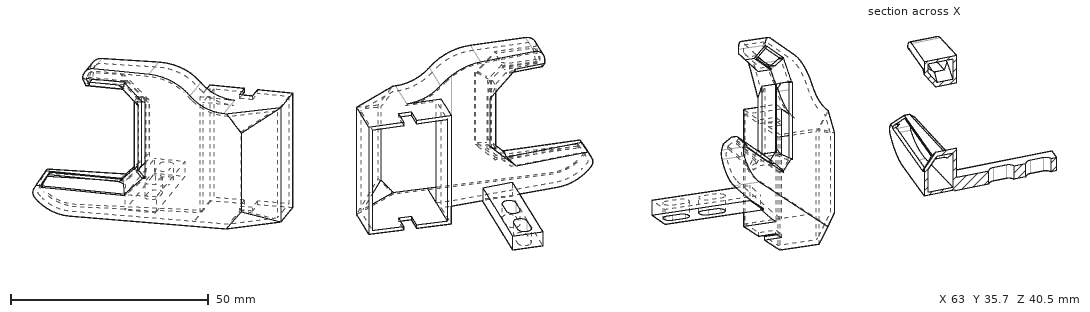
import cadquery as cq
import math

LENGTH = 63.0
HEIGHT = 40.5
PLATE_DEPTH = 10.0
WALL = 1.0

UPPER_TIP_X = 13.1
TIP_RADIUS = 2.9
CREST_END_X = 30.55
INFLECTION_X = 41.4
SHOULDER_X = 50.25
SHOULDER_Z = 31.85
HEEL_Z = 0.95
BELLY_X = 9.7
CHIN_X, CHIN_Z = 0.5, 4.1
NOSE_X, NOSE_Z = 0.265, 6.5
NOSE_SLOPE = math.tan(math.radians(60))

MOUTH_X = 25.8
MOUTH_LOW_Z = 10.45
MOUTH_HIGH_Z = 34.5
MOUTH_BEVEL = 2.95
FRONT_CHAMFER = 3.0
REAR_CHAMFER = 1.95
MITRE = math.tan(math.radians(22.5))

OPENING_START_X = 2.25
OPENING_END_X = 29.5
OPENING_LOW_Z = 7.05
OPENING_HIGH_Z = 37.65
OPENING_LIP = 0.2
INNER_REACH = FRONT_CHAMFER + WALL * (math.sqrt(2) - 1)

REAR_START_Y = 6.2
REAR_SLOPE = 0.1
REAR_ANGLE = math.atan(REAR_SLOPE)

BLOCK_X = 41.2
BLOCK_DEPTH = 19.1
KEYWAY_X = 50.3
KEYWAY_WIDTH = 3.4
KEYWAY_DEPTH = 4.7

END_BEVEL = 8.1
CORNER_RUN = 3.85
CORNER_DROP = 4.85

TAB_X = 21.9
TAB_WIDTH = 8.0
TAB_START_Y = 8.3
TAB_END_Y = 35.7
TAB_THICKNESS = 4.0
TAB_SLOT_WIDTH = 3.5
TAB_SLOT_LENGTH = 7.05
TAB_SLOT_YS = (20.8, 30.8)

FAR = 94.45
MARGIN = 1.25


def upright(y):
    """Workplane parallel to XZ at the given y; local axes are x and z."""
    return cq.Workplane("XZ", origin=(0, y, 0))


def rear_y(x):
    """Depth of the sloping rear face."""
    return REAR_START_Y + REAR_SLOPE * x


def outer_outline(y):
    """Closed side outline of the plate, with the mouth still filled."""
    share = (INFLECTION_X - CREST_END_X) / (SHOULDER_X - CREST_END_X)
    inflection_z = HEIGHT - share * (HEIGHT - SHOULDER_Z)
    nose_top_z = NOSE_Z + (UPPER_TIP_X - NOSE_X) * NOSE_SLOPE
    corner = TIP_RADIUS * (1 - math.sqrt(0.5))
    return (
        upright(y)
        .moveTo(UPPER_TIP_X, HEIGHT - TIP_RADIUS)
        .threePointArc(
            (UPPER_TIP_X + corner, HEIGHT - corner),
            (UPPER_TIP_X + TIP_RADIUS, HEIGHT),
        )
        .lineTo(CREST_END_X, HEIGHT)
        .tangentArcPoint((INFLECTION_X, inflection_z), relative=False)
        .tangentArcPoint((SHOULDER_X, SHOULDER_Z), relative=False)
        .lineTo(LENGTH, SHOULDER_Z)
        .lineTo(LENGTH, HEEL_Z)
        .lineTo(BELLY_X, 0)
        .tangentArcPoint((CHIN_X, CHIN_Z), relative=False)
        .tangentArcPoint((NOSE_X, NOSE_Z), relative=False)
        .lineTo(UPPER_TIP_X, nose_top_z)
        .close()
    )


def inner_outline(y):
    """Outline of the hollow, one wall thickness inside the outer outline."""
    return outer_outline(y).offset2D(-WALL, kind="intersection")


def mouth_outline(y, grow):
    """Mouth polygon with every side moved outward by grow."""
    x = MOUTH_X + grow
    low = MOUTH_LOW_Z - grow
    high = MOUTH_HIGH_Z + grow
    bevel_x = MOUTH_X - MOUTH_BEVEL + grow * MITRE
    bevel_z = MOUTH_BEVEL + grow * (1 - MITRE)
    return upright(y).polyline([
        (-FAR, low), (bevel_x, low), (x, low + bevel_z),
        (x, high - bevel_z), (bevel_x, high), (-FAR, high),
    ]).close()


def bevel_region(y, grow):
    """Triangle between the two bevel lines of the mouth, moved outward by grow."""
    middle_z = (MOUTH_LOW_Z + MOUTH_HIGH_Z) / 2
    half_height = (MOUTH_HIGH_Z - MOUTH_LOW_Z) / 2
    apex_x = MOUTH_X - MOUTH_BEVEL + half_height + grow * math.sqrt(2)
    reach = apex_x + FAR
    return upright(y).polyline([
        (apex_x, middle_z), (-FAR, middle_z + reach), (-FAR, middle_z - reach),
    ]).close()


def underside_z(x):
    """Height of the slightly sloping underside."""
    return HEEL_Z * (x - BELLY_X) / (LENGTH - BELLY_X)


def loft_between(near, far):
    """Solid with flat sides joining two similar polygons."""
    return cq.Workplane(
        cq.Solid.makeLoft([near.wires().val(), far.wires().val()], True)
    )


def rear_chamfers(grow):
    """45 degree cuts on the rear edges of the arms and of the mouth's upright side."""
    start = grow - REAR_CHAMFER - grow * math.sqrt(2)
    depth = MARGIN - start
    arm_plane = cq.Plane(
        origin=(0, REAR_START_Y, 0),
        xDir=(-math.sin(REAR_ANGLE), math.cos(REAR_ANGLE), 0),
        normal=(math.cos(REAR_ANGLE), math.sin(REAR_ANGLE), 0),
    )
    cuts = cq.Workplane("XY")
    for land_z, side in ((MOUTH_LOW_Z - grow, -1), (MOUTH_HIGH_Z + grow, 1)):
        cuts = cuts.add(
            cq.Workplane(arm_plane)
            .polyline([
                (start, land_z), (MARGIN, land_z), (MARGIN, land_z + side * depth),
            ])
            .close()
            .extrude(LENGTH / 2, both=True)
        )
    land_x = MOUTH_X + grow
    land_y = rear_y(MOUTH_X)
    cuts = cuts.add(
        cq.Workplane("XY")
        .polyline([
            (land_x, land_y + start), (land_x, land_y + MARGIN),
            (land_x + depth, land_y + MARGIN),
        ])
        .close()
        .extrude(HEIGHT)
    )
    return cuts.combine().intersect(bevel_region(0, grow).extrude(-BLOCK_DEPTH))


def mouth(grow):
    """Mouth with chamfered edges, all faces moved into the material by grow."""
    reach = FRONT_CHAMFER + grow * (math.sqrt(2) - 1)
    flare = loft_between(mouth_outline(grow, reach), mouth_outline(reach, grow))
    passage = mouth_outline(0, grow).extrude(-BLOCK_DEPTH)
    return passage.union(flare).union(rear_chamfers(grow))


def behind_rear(grow):
    """Space behind the sloping rear face, moved forward by grow."""
    shift = grow / math.cos(REAR_ANGLE)
    return (
        cq.Workplane("XY")
        .polyline([
            (-MARGIN, rear_y(-MARGIN) - shift), (LENGTH, rear_y(LENGTH) - shift),
            (-MARGIN, rear_y(LENGTH) - shift),
        ])
        .close()
        .extrude(HEIGHT, both=True)
    )


def half_space(point, normal, grow):
    """Large block beyond a plane, the plane moved back by grow."""
    plane = cq.Plane(origin=point, normal=normal)
    return cq.Workplane(plane).workplane(offset=-grow).rect(FAR, FAR).extrude(FAR)


def end_bevels(grow):
    """Bevel on the far front edge and the two facets at its ends."""
    edge_x = LENGTH - END_BEVEL
    facet = (
        CORNER_DROP * END_BEVEL,
        -CORNER_DROP * (END_BEVEL + CORNER_RUN),
        CORNER_RUN * END_BEVEL,
    )
    lower_facet = (facet[0], facet[1], -facet[2])
    return (
        half_space((edge_x, 0, SHOULDER_Z - CORNER_DROP), (1, -1, 0), grow)
        .union(half_space((LENGTH, END_BEVEL, SHOULDER_Z), facet, grow))
        .union(half_space((LENGTH, END_BEVEL, HEEL_Z), lower_facet, grow))
    )


def opening_section(edge):
    """Opening section as (distance into the material from the mouth side, y)."""
    lip_y = FRONT_CHAMFER - OPENING_LIP
    lip_end_y = lip_y + (WALL - OPENING_LIP) * MITRE
    return [
        (OPENING_LIP, 0), (OPENING_LIP, lip_y), (WALL, lip_end_y), (WALL, INNER_REACH),
        (INNER_REACH, WALL), (edge, WALL), (edge, 0),
    ]


def arm_opening(land_z, edge_z):
    """Opening along one arm, ending at the mitre next to the bevel."""
    side = math.copysign(1, edge_z - land_z)
    corner_x = MOUTH_X - MOUTH_BEVEL
    mitre_x = corner_x + FRONT_CHAMFER * MITRE
    section = (
        cq.Workplane("YZ")
        .polyline([(y, land_z + side * d) for d, y in opening_section(abs(edge_z - land_z))])
        .close()
        .extrude(MOUTH_X)
    )
    return (
        upright(0)
        .polyline([
            (OPENING_START_X, land_z), (corner_x, land_z),
            (mitre_x, land_z + side * FRONT_CHAMFER),
            (mitre_x, land_z + side * 2 * FRONT_CHAMFER),
            (OPENING_START_X, land_z + side * 2 * FRONT_CHAMFER),
        ])
        .close()
        .extrude(-INNER_REACH)
        .intersect(section)
    )


def side_opening():
    """Opening along the upright side of the mouth, between the two mitres."""
    low = MOUTH_LOW_Z + MOUTH_BEVEL
    high = MOUTH_HIGH_Z - MOUTH_BEVEL
    spread = FRONT_CHAMFER * MITRE
    mitre_x = MOUTH_X + FRONT_CHAMFER
    end_x = mitre_x + FRONT_CHAMFER
    section = (
        cq.Workplane("XY")
        .polyline([(MOUTH_X + d, y) for d, y in opening_section(OPENING_END_X - MOUTH_X)])
        .close()
        .extrude(HEIGHT)
    )
    return (
        upright(0)
        .polyline([
            (MOUTH_X, low), (mitre_x, low - spread), (end_x, low - spread),
            (end_x, high + spread), (mitre_x, high + spread), (MOUTH_X, high),
        ])
        .close()
        .extrude(-INNER_REACH)
        .intersect(section)
    )


def wall_openings():
    """Openings through the front chamfers of the mouth into the hollow."""
    between_bevels = loft_between(
        bevel_region(0, FRONT_CHAMFER),
        bevel_region(INNER_REACH, FRONT_CHAMFER - INNER_REACH),
    )
    kept_lip_ends = mouth_outline(0, WALL).extrude(-INNER_REACH).cut(between_bevels)
    inside_tips = inner_outline(0).extrude(-PLATE_DEPTH)
    return (
        arm_opening(MOUTH_LOW_Z, OPENING_LOW_Z)
        .union(arm_opening(MOUTH_HIGH_Z, OPENING_HIGH_Z))
        .union(side_opening())
        .intersect(inside_tips)
        .cut(kept_lip_ends)
    )


def plate():
    """Solid plate with the mouth and the sloping rear face cut."""
    return outer_outline(0).extrude(-PLATE_DEPTH).cut(mouth(0)).cut(behind_rear(0))


def cavity():
    """Hollow of the plate, running on into the block and open at its rear."""
    return (
        inner_outline(WALL)
        .extrude(-(PLATE_DEPTH - 2 * WALL))
        .cut(mouth(WALL))
        .cut(behind_rear(WALL))
        .union(block_body(WALL))
        .cut(end_bevels(WALL))
    )


def block_body(inset):
    """Block behind the plate, its sides moved inward by inset."""
    start_x = BLOCK_X + inset
    end_x = LENGTH - inset
    top_z = SHOULDER_Z - inset
    return (
        upright(inset)
        .polyline([
            (start_x, underside_z(start_x) + inset), (end_x, underside_z(end_x) + inset),
            (end_x, top_z), (start_x, top_z),
        ])
        .close()
        .extrude(inset - BLOCK_DEPTH)
    )


def keyway():
    """Slot through the top and bottom walls of the block."""
    return (
        cq.Workplane("XY")
        .box(KEYWAY_WIDTH, KEYWAY_DEPTH, HEIGHT, centered=False)
        .translate((KEYWAY_X, BLOCK_DEPTH - KEYWAY_DEPTH, 0))
    )


def tab():
    """Flat tab reaching rearward from the lower arm, with two long holes."""
    slots = (
        cq.Workplane("XY")
        .pushPoints([(TAB_X + TAB_WIDTH / 2, y) for y in TAB_SLOT_YS])
        .slot2D(TAB_SLOT_LENGTH, TAB_SLOT_WIDTH, 90)
        .extrude(TAB_THICKNESS)
    )
    return (
        cq.Workplane("XY")
        .box(TAB_WIDTH, TAB_END_Y - TAB_START_Y, TAB_THICKNESS, centered=False)
        .translate((TAB_X, TAB_START_Y, 0))
        .cut(slots)
    )


result = (
    plate()
    .union(block_body(0))
    .cut(end_bevels(0))
    .cut(cavity())
    .cut(wall_openings())
    .cut(keyway())
    .union(tab())
)